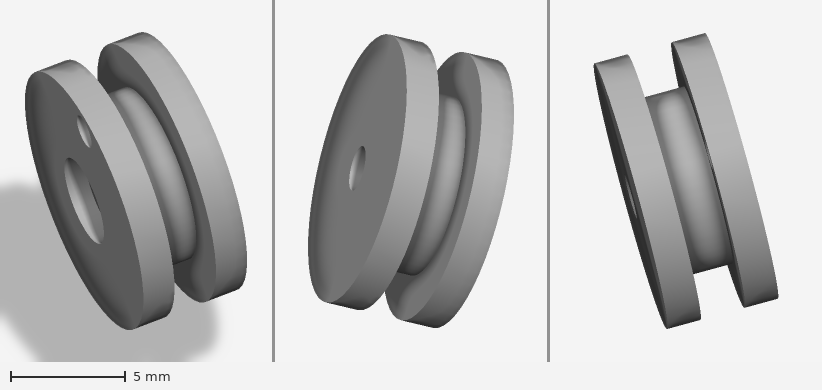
import cadquery as cq

flange_diameter = 12.0
flange_thickness = 1.5
hub_diameter = 8.0
groove_width = 2.0
bore_diameter = 2.0
counterbore_diameter = 4.0
counterbore_depth = 1.0
pin_hole_diameter = 1.5
pin_hole_offset = 5.0

total_width = 2 * flange_thickness + groove_width
front_y = -total_width / 2


def cylinder_along_y(diameter, start_y, length, center_z=0.0):
    """Cylinder that starts at start_y and runs towards +Y."""
    return cq.Workplane(
        cq.Solid.makeCylinder(
            diameter / 2,
            length,
            cq.Vector(0, start_y, center_z),
            cq.Vector(0, 1, 0),
        )
    )


wheel = cylinder_along_y(hub_diameter, front_y, total_width)
for flange_y in (front_y, front_y + flange_thickness + groove_width):
    wheel = wheel.union(cylinder_along_y(flange_diameter, flange_y, flange_thickness))

wheel = wheel.cut(cylinder_along_y(bore_diameter, front_y, total_width))
wheel = wheel.cut(cylinder_along_y(counterbore_diameter, front_y, counterbore_depth))

wheel = wheel.cut(cylinder_along_y(pin_hole_diameter, front_y, flange_thickness, pin_hole_offset))

result = wheel